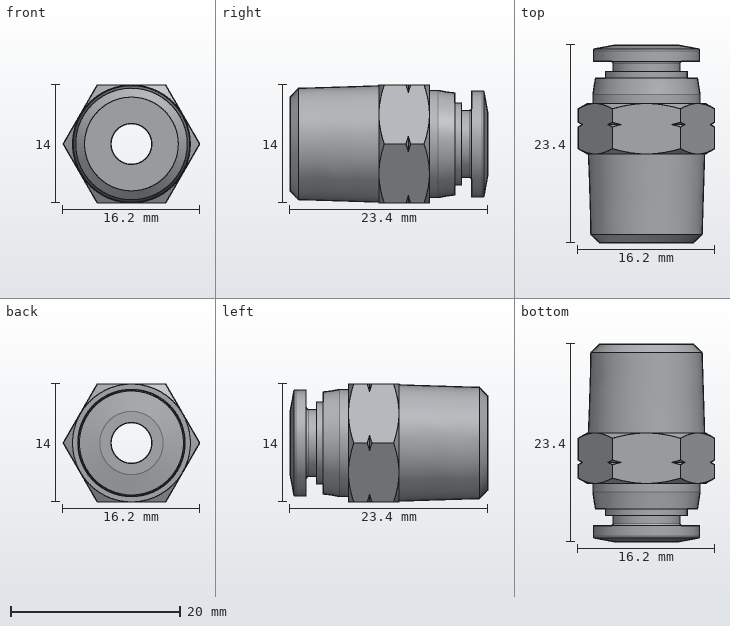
import cadquery as cq
import math


total_length = 23.4
end_chamfer_length = 1.0
hex_start = 10.5
hex_length = 6.0
hex_end = hex_start + hex_length
collar_straight_end = 17.53
collar_end = 19.5
step_end = 20.29
head_start = 21.48
head_rim_end = 22.72
head_edge_end = 22.95

bore_diameter = 4.8
end_face_diameter = 11.1
thread_tip_diameter = 13.2
thread_taper = 1 / 16
collar_diameter = 12.7
collar_end_diameter = 12.1
step_diameter = 9.7
neck_diameter = 7.95
head_diameter = 12.6
head_edge_diameter = 12.3
head_face_diameter = 7.49
neck_fillet = 0.25

hex_across_flats = 14.0
hex_across_corners = hex_across_flats / math.cos(math.radians(30))
hex_bevel_diameter = 13.95
hex_bevel_angle = 30.0

groove_center = 14.0
groove_depth = 0.47
groove_half_width = 0.28


def revolve_profile(profile):
    """Turn a closed (radius, axial position) outline around the Y axis."""
    return profile.close().revolve(360, (0, 0, 0), (0, 1, 0))


def threaded_end():
    """Tapered shank with a chamfered tip."""
    taper_length = hex_start - end_chamfer_length
    root_radius = (thread_tip_diameter + thread_taper * taper_length) / 2
    return revolve_profile(
        cq.Workplane("XY")
        .moveTo(0, 0)
        .lineTo(end_face_diameter / 2, 0)
        .lineTo(thread_tip_diameter / 2, end_chamfer_length)
        .lineTo(root_radius, hex_start)
        .lineTo(0, hex_start)
    )


def hex_nut():
    """Hexagon with corners along X, conical bevels and grooved corners."""
    prism = (
        cq.Workplane("XZ", origin=(0, hex_start, 0))
        .polygon(6, hex_across_corners)
        .extrude(-hex_length)
    )
    corner_radius = hex_across_corners / 2
    bevel_radius = hex_bevel_diameter / 2
    bevel_length = (corner_radius - bevel_radius) * math.tan(math.radians(hex_bevel_angle))
    groove_radius = corner_radius - groove_depth
    envelope = revolve_profile(
        cq.Workplane("XY")
        .moveTo(0, hex_start)
        .lineTo(bevel_radius, hex_start)
        .lineTo(corner_radius, hex_start + bevel_length)
        .lineTo(corner_radius, groove_center - groove_half_width)
        .lineTo(groove_radius, groove_center)
        .lineTo(corner_radius, groove_center + groove_half_width)
        .lineTo(corner_radius, hex_end - bevel_length)
        .lineTo(bevel_radius, hex_end)
        .lineTo(0, hex_end)
    )
    return prism.intersect(envelope)


def collar_and_release_head():
    """Tapering collar, step, neck and flanged release button."""
    neck_radius = neck_diameter / 2
    return revolve_profile(
        cq.Workplane("XY")
        .moveTo(0, hex_end)
        .lineTo(collar_diameter / 2, hex_end)
        .lineTo(collar_diameter / 2, collar_straight_end)
        .lineTo(collar_end_diameter / 2, collar_end)
        .lineTo(step_diameter / 2, collar_end)
        .lineTo(step_diameter / 2, step_end)
        .lineTo(neck_radius, step_end)
        .lineTo(neck_radius, head_start - neck_fillet)
        .radiusArc((neck_radius + neck_fillet, head_start), neck_fillet)
        .lineTo(head_diameter / 2, head_start)
        .lineTo(head_diameter / 2, head_rim_end)
        .tangentArcPoint((head_edge_diameter / 2, head_edge_end), relative=False)
        .lineTo(head_face_diameter / 2, total_length)
        .lineTo(0, total_length)
    )


def through_bore():
    return cq.Workplane("XZ").circle(bore_diameter / 2).extrude(-total_length)


result = threaded_end().union(hex_nut()).union(collar_and_release_head()).cut(through_bore())